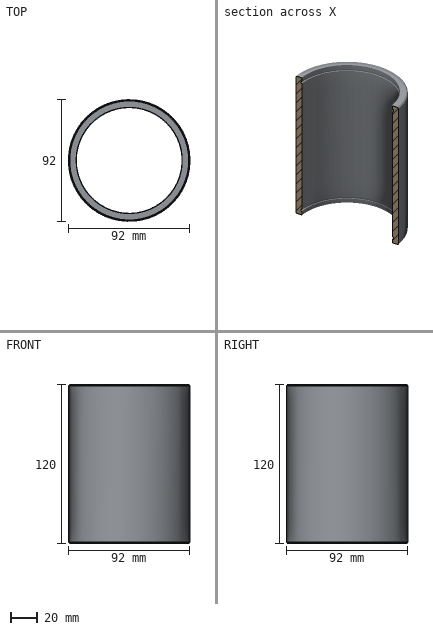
import cadquery as cq

height = 120.0
outer_diameter = 92.0
bore_diameter = 80.0
edge_chamfer = 1.0

groove_offset = 3.5
groove_width = 1.5
groove_depth = 1.0


def make_sleeve():
    """Plain tube with its outer end edges chamfered."""
    body = cq.Workplane("XY").circle(outer_diameter / 2).extrude(height)
    body = body.faces("<Z or >Z").edges().chamfer(edge_chamfer)
    return body.faces(">Z").workplane().hole(bore_diameter)


def make_groove(bottom):
    """Ring that cuts a groove into the bore wall, starting at height bottom."""
    return (
        cq.Workplane("XY", origin=(0, 0, bottom))
        .circle(bore_diameter / 2 + groove_depth)
        .extrude(groove_width)
    )


result = make_sleeve()
for groove_bottom in (groove_offset, height - groove_offset - groove_width):
    result = result.cut(make_groove(groove_bottom))